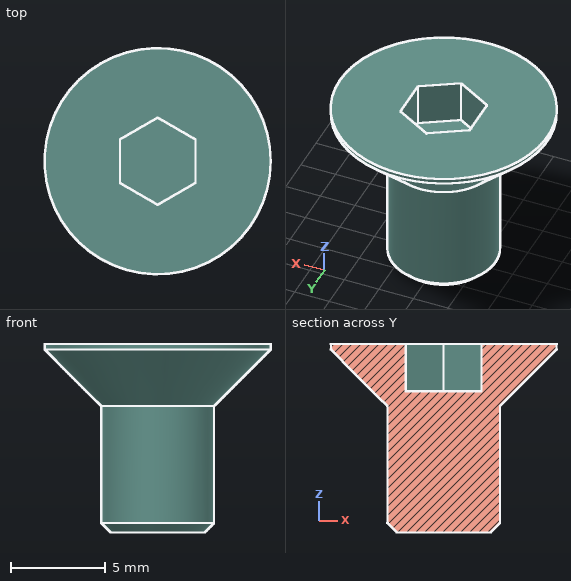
import cadquery as cq
import math

total_length = 10.0
head_diameter = 12.0
shank_diameter = 6.0
rim_height = 0.3
countersink_angle = 90.0
tip_chamfer = 0.5
socket_across_flats = 4.0
socket_depth = 2.5

head_radius = head_diameter / 2
shank_radius = shank_diameter / 2
cone_height = (head_radius - shank_radius) / math.tan(math.radians(countersink_angle / 2))
rim_bottom = total_length - rim_height
cone_bottom = rim_bottom - cone_height


def screw_body():
    """Revolve the half profile of tip, shank, conical head and rim."""
    return (
        cq.Workplane("XZ")
        .moveTo(0, 0)
        .lineTo(shank_radius - tip_chamfer, 0)
        .lineTo(shank_radius, tip_chamfer)
        .lineTo(shank_radius, cone_bottom)
        .lineTo(head_radius, rim_bottom)
        .lineTo(head_radius, total_length)
        .lineTo(0, total_length)
        .close()
        .revolve(360, (0, 0, 0), (0, 1, 0))
    )


def hex_socket():
    """Hexagonal prism below the head face, with two corners on the Y axis."""
    corner_diameter = socket_across_flats / math.cos(math.radians(30))
    return (
        cq.Workplane("XY")
        .workplane(offset=total_length)
        .transformed(rotate=(0, 0, 90))
        .polygon(6, corner_diameter)
        .extrude(-socket_depth)
    )


result = screw_body().cut(hex_socket())